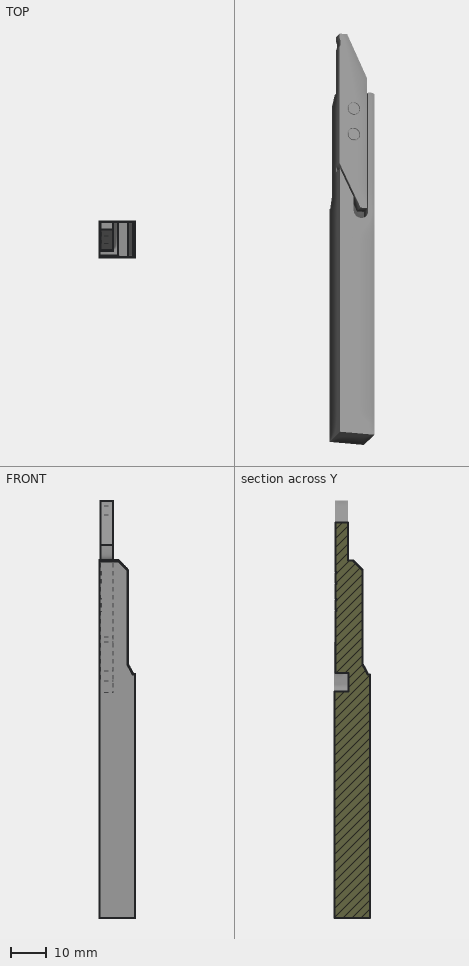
import cadquery as cq
import math

SHANK_SIDE = 10.0
SHANK_LENGTH = 100.0

HEAD_THICKNESS = 8.0
HEAD_CHAMFER = 2.8
STEP_Z = 68.2
STEP_LEDGE = 0.6
STEP_SLOPE_ANGLE = 62.0

BEVEL_WIDTH = 0.5
BEVEL_DROP = 0.3

BLADE_TOP = 116.6
BLADE_BOTTOM = 66.2
BLADE_RECESS = 0.3
BLADE_THICKNESS = 3.55
BLADE_WIDTH = 8.0
BLADE_TIP_FLAT = 2.2
BLADE_HEEL_FLAT = 1.9
BLADE_SLOPE_RISE = 12.4

GROOVE_BOTTOM = 112.7
GROOVE_TOP = 115.2
GROOVE_DEPTH = 0.3

SIDE_GAP = 0.19
SLOPE_GAP = 1.5
RELIEF_RADIUS = 2.1
RELIEF_CENTER_Z = 65.2

PIN_FROM_BACK = 4.1
PIN_HEIGHTS = (95.0, 87.5)
PIN_DIAMETER = 3.2
PIN_RING_DIAMETER = 3.7
PIN_RING_DEPTH = 0.3

BACK_Y = SHANK_SIDE
BLADE_FRONT_Y = BACK_Y - BLADE_WIDTH
BLADE_INNER_X = BLADE_RECESS + BLADE_THICKNESS
POCKET_FRONT_Y = BLADE_FRONT_Y - SIDE_GAP


def slab(outline, x_start, thickness):
    """Extrude a closed YZ sketch toward +X from x_start."""
    return outline.close().extrude(thickness).translate((x_start, 0, 0))


def make_shank():
    slope_run = SHANK_SIDE - STEP_LEDGE - HEAD_THICKNESS
    slope_rise = slope_run * math.tan(math.radians(STEP_SLOPE_ANGLE))
    shank = (
        cq.Workplane("XZ")
        .moveTo(0, 0)
        .lineTo(SHANK_SIDE, 0)
        .lineTo(SHANK_SIDE, STEP_Z)
        .lineTo(SHANK_SIDE - STEP_LEDGE, STEP_Z)
        .lineTo(HEAD_THICKNESS, STEP_Z + slope_rise)
        .lineTo(HEAD_THICKNESS, SHANK_LENGTH - HEAD_CHAMFER)
        .lineTo(HEAD_THICKNESS - HEAD_CHAMFER, SHANK_LENGTH)
        .lineTo(0, SHANK_LENGTH)
        .close()
        .extrude(-SHANK_SIDE)
    )
    bevel = (
        cq.Workplane("YZ")
        .moveTo(0, SHANK_LENGTH - BEVEL_DROP)
        .lineTo(BEVEL_WIDTH, SHANK_LENGTH)
        .lineTo(0, SHANK_LENGTH)
    )
    return shank.cut(slab(bevel, 0, SHANK_SIDE))


def make_pocket():
    relief_y = POCKET_FRONT_Y + RELIEF_RADIUS
    relief_back_y = relief_y + RELIEF_RADIUS
    slope_run = BLADE_WIDTH - BLADE_HEEL_FLAT
    slope_start_z = BLADE_BOTTOM + BLADE_SLOPE_RISE - SLOPE_GAP
    slope_end_z = slope_start_z - (BACK_Y - relief_back_y) * BLADE_SLOPE_RISE / slope_run
    outline = (
        cq.Workplane("YZ")
        .moveTo(BACK_Y, SHANK_LENGTH)
        .lineTo(BACK_Y, slope_start_z)
        .lineTo(relief_back_y, slope_end_z)
        .lineTo(relief_back_y, RELIEF_CENTER_Z)
        .threePointArc((relief_y, RELIEF_CENTER_Z - RELIEF_RADIUS), (POCKET_FRONT_Y, RELIEF_CENTER_Z))
        .lineTo(POCKET_FRONT_Y, SHANK_LENGTH)
    )
    return slab(outline, 0, BLADE_INNER_X)


def make_blade():
    groove_middle_z = (GROOVE_BOTTOM + GROOVE_TOP) / 2
    outline = (
        cq.Workplane("YZ")
        .moveTo(BLADE_FRONT_Y, BLADE_BOTTOM)
        .lineTo(BLADE_FRONT_Y + BLADE_HEEL_FLAT, BLADE_BOTTOM)
        .lineTo(BACK_Y, BLADE_BOTTOM + BLADE_SLOPE_RISE)
        .lineTo(BACK_Y, GROOVE_BOTTOM)
        .threePointArc((BACK_Y - GROOVE_DEPTH, groove_middle_z), (BACK_Y, GROOVE_TOP))
        .lineTo(BACK_Y, BLADE_TOP)
        .lineTo(BACK_Y - BLADE_TIP_FLAT, BLADE_TOP)
        .lineTo(BLADE_FRONT_Y, BLADE_TOP - BLADE_SLOPE_RISE)
    )
    return slab(outline, BLADE_RECESS, BLADE_THICKNESS)


def make_pin_rings():
    centers = [(BACK_Y - PIN_FROM_BACK, height) for height in PIN_HEIGHTS]
    return (
        cq.Workplane("YZ", origin=(BLADE_RECESS, 0, 0))
        .pushPoints(centers)
        .circle(PIN_RING_DIAMETER / 2)
        .circle(PIN_DIAMETER / 2)
        .extrude(PIN_RING_DEPTH)
    )


result = make_shank().cut(make_pocket()).union(make_blade()).cut(make_pin_rings())